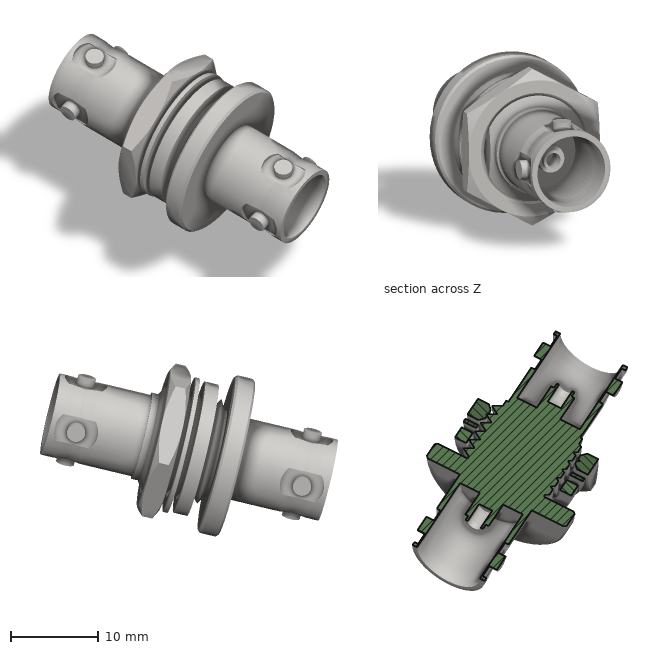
import cadquery as cq
import math

LENGTH = 32.77
CUT_MARGIN = 0.33

BARREL_R = 4.8
BORE_R = 4.13
BORE_DEPTH = 9.83
STUD_X = 3.05
STUD_R = 1.05
STUD_COUNT = 4
STUD_TIP_R = 5.28
PAD_R = 2.52
PAD_WIDTH = 3.28
PAD_HEIGHT = 4.3
WAIST_HALF_LENGTH = 1.55
WAIST_R = math.hypot(PAD_HEIGHT, PAD_WIDTH / 2)

INSULATOR_R = 1.57
INSULATOR_LENGTH = 3.28
CONTACT_R = 1.18
CONTACT_LENGTH = 3.93
SOCKET_R = 0.85
SOCKET_DEPTH = 2.62

COLLAR_START = 10.78
COLLAR_R = 5.08
THREAD_START = 11.57
THREAD_END = 19.37
THREAD_COUNT = 6
THREAD_PITCH = (THREAD_END - THREAD_START) / THREAD_COUNT
THREAD_FLANK_ANGLE = 60.0
THREAD_CREST_R = COLLAR_R + THREAD_PITCH / 2 * math.tan(math.radians(THREAD_FLANK_ANGLE))
FLAT_Y = 5.5
FLANGE_START = 19.63
FLANGE_END = 21.95
FLANGE_DIAMETER = 18.58
FLANGE_R = FLANGE_DIAMETER / 2
FLANGE_CHAMFER = 0.25

NUT_START = 12.2
NUT_END = 14.65
NUT_SIDES = 6
NUT_ACROSS_FLATS = 16.0
NUT_CHAMFER_ANGLE = 28.0
NUT_BORE_R = 5.93
NUT_MOUTH_R = 6.52

THIN_WASHER_START = 15.2
THIN_WASHER_END = 15.7
THIN_WASHER_R = 7.93
THICK_WASHER_START = 16.4
THICK_WASHER_END = 18.0
THICK_WASHER_R = 7.75
WASHER_BORE_R = THREAD_CREST_R


def cylinder(start, end, radius):
    """Solid cylinder on the X axis."""
    return cq.Workplane("YZ", origin=(start, 0, 0)).circle(radius).extrude(end - start)


def turned(points):
    """Solid turned about the X axis from (x, radius) points that start and end on the axis."""
    return cq.Workplane("XY").polyline(points).close().revolve(360, (0, 0, 0), (1, 0, 0))


def mirrored(shape):
    """The same shape at the other end of the housing."""
    return shape.mirror("YZ", (LENGTH / 2, 0, 0))


def thread_blank():
    """Turned body with V-shaped thread rings, before the side flat is cut."""
    points = [(THREAD_START, 0), (THREAD_START, COLLAR_R)]
    for ring in range(THREAD_COUNT):
        valley = THREAD_START + ring * THREAD_PITCH
        points.append((valley + THREAD_PITCH / 2, THREAD_CREST_R))
        points.append((valley + THREAD_PITCH, COLLAR_R))
    points.append((THREAD_END, 0))
    return turned(points)


def waist_cutter():
    """Ring that turns a shallow V-shaped waist into the barrel at the studs."""
    outer_r = BARREL_R + CUT_MARGIN
    return (
        cq.Workplane("XY")
        .moveTo(STUD_X - WAIST_HALF_LENGTH, BARREL_R)
        .lineTo(STUD_X, WAIST_R)
        .lineTo(STUD_X + WAIST_HALF_LENGTH, BARREL_R)
        .lineTo(STUD_X, outer_r)
        .close()
        .revolve(360, (0, 0, 0), (1, 0, 0))
    )


def around_axis(shape):
    """Copies of a shape at each stud position around the X axis."""
    step = 360 / STUD_COUNT
    return [shape.rotate((0, 0, 0), (1, 0, 0), step * turn) for turn in range(STUD_COUNT)]


def pad_cutter():
    """Pocket that leaves a flat pad with two rounded ends on the +Z side."""
    base = cq.Workplane("XY", origin=(STUD_X, 0, PAD_HEIGHT))
    height = BARREL_R - PAD_HEIGHT + CUT_MARGIN
    strip = base.rect(2 * PAD_R, PAD_WIDTH).extrude(height)
    return base.circle(PAD_R).extrude(height).intersect(strip)


def stud():
    """Bayonet stud on the +Z side, rooted in the barrel wall."""
    root_r = (BORE_R + PAD_HEIGHT) / 2
    return cq.Workplane("XY", origin=(STUD_X, 0, root_r)).circle(STUD_R).extrude(STUD_TIP_R - root_r)


def centre_contact():
    """Insulator boss and socket contact standing on the bore floor."""
    contact_tip = BORE_DEPTH - CONTACT_LENGTH
    insulator = cylinder(BORE_DEPTH - INSULATOR_LENGTH, BORE_DEPTH, INSULATOR_R)
    contact = cylinder(contact_tip, BORE_DEPTH, CONTACT_R)
    socket = cylinder(contact_tip, contact_tip + SOCKET_DEPTH, SOCKET_R)
    return insulator.union(contact).cut(socket)


def make_housing():
    flange = cylinder(FLANGE_START, FLANGE_END, FLANGE_R).edges().chamfer(FLANGE_CHAMFER)
    side_flat = cq.Workplane("XY").box(LENGTH, FLANGE_R, 2 * FLANGE_R, centered=(False, False, True))
    thread = thread_blank().cut(side_flat.translate((0, FLAT_Y, 0)))

    housing = cylinder(0, LENGTH, BARREL_R)
    housing = housing.union(cylinder(COLLAR_START, FLANGE_START, COLLAR_R))
    housing = housing.union(thread).union(flange)

    cutters = [waist_cutter(), *around_axis(pad_cutter()), cylinder(0, BORE_DEPTH, BORE_R)]
    additions = [*around_axis(stud()), centre_contact()]
    for cutter in cutters:
        housing = housing.cut(cutter).cut(mirrored(cutter))
    for addition in additions:
        housing = housing.union(addition).union(mirrored(addition))
    return housing


def make_nut():
    flat_r = NUT_ACROSS_FLATS / 2
    corner_r = flat_r / math.cos(math.pi / NUT_SIDES)
    corner_depth = (corner_r - flat_r) * math.tan(math.radians(NUT_CHAMFER_ANGLE))
    mouth_depth = NUT_MOUTH_R - NUT_BORE_R

    hexagon = (
        cq.Workplane("YZ", origin=(NUT_START, 0, 0))
        .polygon(NUT_SIDES, 2 * corner_r)
        .extrude(NUT_END - NUT_START)
        .rotate((0, 0, 0), (1, 0, 0), 90)
    )
    chamfered_blank = turned([
        (NUT_START, 0),
        (NUT_START, flat_r),
        (NUT_START + corner_depth, corner_r),
        (NUT_END - corner_depth, corner_r),
        (NUT_END, flat_r),
        (NUT_END, 0),
    ])
    bore = turned([
        (NUT_START, 0),
        (NUT_START, NUT_MOUTH_R),
        (NUT_START + mouth_depth, NUT_BORE_R),
        (NUT_END - mouth_depth, NUT_BORE_R),
        (NUT_END, NUT_MOUTH_R),
        (NUT_END, 0),
    ])
    return hexagon.intersect(chamfered_blank).cut(bore).cut(thread_blank())


def make_washer(start, end, radius):
    """Plain ring that clears the thread crests."""
    return cylinder(start, end, radius).cut(cylinder(start, end, WASHER_BORE_R))


housing = make_housing()
nut = make_nut()
thin_washer = make_washer(THIN_WASHER_START, THIN_WASHER_END, THIN_WASHER_R)
thick_washer = make_washer(THICK_WASHER_START, THICK_WASHER_END, THICK_WASHER_R)

result = cq.Compound.makeCompound([
    housing.solids().val(),
    nut.solids().val(),
    thin_washer.solids().val(),
    thick_washer.solids().val(),
])